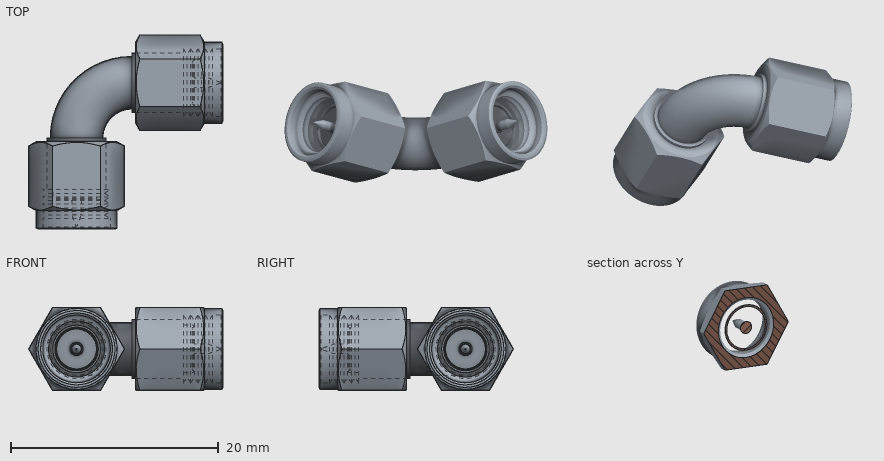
import math

import cadquery as cq

mating_face = 14.1

tube_radius = 2.54
collar_radius = 2.85
collar_start = 5.32

hex_width = 8.0
hex_corner_radius = hex_width / math.sqrt(3)
hex_start = 5.67
hex_end = 12.33
hex_chamfer_radius = 3.87
hex_chamfer_angle = 30.0
sleeve_radius = 3.91
sleeve_root = 1.0
sleeve_chamfer_radius = 3.7
sleeve_chamfer_length = 0.1
mouth_radius = 3.46
thread_root_radius = 3.26
thread_crest_radius = 2.7
thread_pitch = 0.7
thread_start = 1.0
thread_count = 4
mouth_chamfer_length = mouth_radius - thread_root_radius

plug_radius = 2.29
plug_depth = 2.85
plug_bore_radius = 2.1
groove_radius = 2.02
groove_depth = 0.2
dielectric_radius = 1.92
dielectric_recess = 0.1

pin_radius = 0.46
pin_shoulder_radius = 0.51
pin_foot_radius = 0.64
pin_foot_length = 0.2
pin_tip_radius = 0.06
pin_tip_depth = 0.29
pin_cone_length = 1.1

thread_end = mating_face - thread_start - thread_count * thread_pitch
plug_end = mating_face - plug_depth
dielectric_face = plug_end - dielectric_recess
pin_tip = mating_face - pin_tip_depth


def revolve_profile(points):
    """Solid of revolution about Z from (radius, height) points."""
    return cq.Workplane("XZ").polyline(points).close().revolve(360, (0, 0, 0), (0, 1, 0))


def hex_chamfer_envelope():
    """Double cone that trims the six corners at both ends of the hexagon."""
    corner_drop = (hex_corner_radius - hex_chamfer_radius) * math.tan(math.radians(hex_chamfer_angle))
    return revolve_profile([
        (0, hex_start),
        (hex_chamfer_radius, hex_start),
        (hex_corner_radius, hex_start + corner_drop),
        (hex_corner_radius, hex_end - corner_drop),
        (hex_chamfer_radius, hex_end),
        (0, hex_end),
    ])


def nut_bore():
    """Chamfered mouth, V-shaped thread rings and the plain bore behind them."""
    points = [
        (0, mating_face),
        (mouth_radius, mating_face),
        (thread_root_radius, mating_face - mouth_chamfer_length),
    ]
    for ring in range(thread_count):
        root_height = mating_face - thread_start - ring * thread_pitch
        points.append((thread_root_radius, root_height))
        points.append((thread_crest_radius, root_height - thread_pitch / 2))
    points += [
        (thread_root_radius, thread_end),
        (collar_radius, thread_end),
        (collar_radius, hex_start),
        (0, hex_start),
    ]
    return revolve_profile(points)


def make_nut():
    """Chamfered hexagon and front sleeve, bored through with an internal thread."""
    hexagon = (
        cq.Workplane("XY")
        .workplane(offset=hex_start)
        .polygon(6, 2 * hex_corner_radius)
        .extrude(hex_end - hex_start)
        .intersect(hex_chamfer_envelope())
    )
    sleeve = revolve_profile([
        (0, hex_end - sleeve_root),
        (sleeve_radius, hex_end - sleeve_root),
        (sleeve_radius, mating_face - sleeve_chamfer_length),
        (sleeve_chamfer_radius, mating_face),
        (0, mating_face),
    ])
    return hexagon.union(sleeve).cut(nut_bore())


def make_plug():
    """Collar, stem inside the nut, grooved end face and pointed pin."""
    return revolve_profile([
        (0, collar_start),
        (collar_radius, collar_start),
        (collar_radius, thread_end),
        (plug_radius, thread_end),
        (plug_radius, plug_end),
        (plug_bore_radius, plug_end),
        (groove_radius, plug_end - groove_depth),
        (dielectric_radius, dielectric_face),
        (pin_foot_radius, dielectric_face),
        (pin_shoulder_radius, dielectric_face + pin_foot_length),
        (pin_radius, dielectric_face + pin_foot_length),
        (pin_radius, pin_tip - pin_cone_length),
        (pin_tip_radius, pin_tip),
        (0, pin_tip),
    ])


def along_front_arm(shape):
    """Lay a +Z shape along -Y."""
    return shape.rotate((0, 0, 0), (1, 0, 0), 90)


def along_side_arm(shape):
    """Lay a +Z shape along +X, as the mirror twin of the front arm."""
    return along_front_arm(shape).rotate((0, 0, 0), (0, 0, 1), 90)


def make_elbow():
    """Quarter-circle tube carrying a plug at each end."""
    path = (
        cq.Workplane("XY")
        .moveTo(0, -collar_start)
        .radiusArc((collar_start, 0), collar_start)
    )
    tube = cq.Workplane("XZ", origin=(0, -collar_start, 0)).circle(tube_radius).sweep(path)
    plug = make_plug()
    return tube.union(along_front_arm(plug)).union(along_side_arm(plug))


elbow = make_elbow()
nuts = [place(make_nut()) for place in (along_front_arm, along_side_arm)]

result = cq.Compound.makeCompound([elbow.val(), *[nut.val() for nut in nuts]])